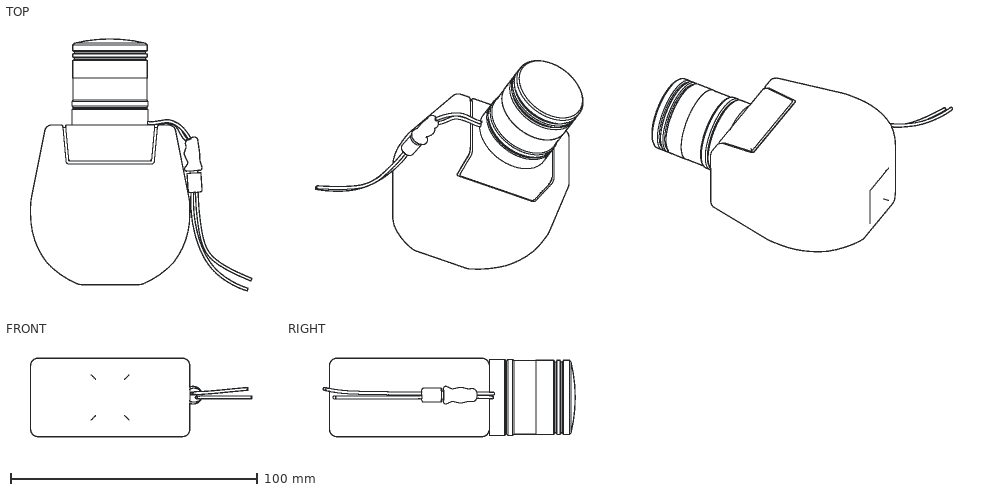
import cadquery as cq
import math


HEIGHT = 32.0
LENGTH = 65.0
HALF_WIDTH = 32.4
EDGE_ROUND = 3.1
BACK_CORNER_ROUND = 3.0
FRONT_FLAT_HALF = 12.5
FRONT_ARC_RADIUS = 34.8
FRONT_CORNER_ROUND = 5.1
CHEEK_X = 25.9
CHEEK_Y = 9.2
CHEEK_TOP_Y = 28.3
FLANK_TOP_Y = 31.9
SHOULDER_X = 32.0
SHOULDER_Y = 35.8
BACK_HALF = 26.1

WINDOW_WIDTH = 14.9
WINDOW_HEIGHT = 17.8
WINDOW_DEPTH = 1.4
WINDOW_TAPER = 45
WINDOW_LIP_ROUND = 1.1
WINDOW_FLOOR_ROUND = 0.6

GROOVE_DEPTH = 1.0
GROOVE_REACH = 15.9
GROOVE_BACK_HALF = 19.3
GROOVE_FRONT_HALF = 17.8
GROOVE_WIDTH = 1.1
GROOVE_CORNER = 1.1
GROOVE_LIP_ROUND = 0.8
PANEL_EDGE_ROUND = 0.5

LENS_X = -0.1
MOUNT_RADIUS = 15.5
MOUNT_LENGTH = 6.7
MOUNT_CHAMFER = 0.4
MOUNT_END_Y = LENGTH + MOUNT_LENGTH

LENS_TIP_Y = 99.9
NECK_RADIUS = 14.7
NECK_LENGTH = 0.3
COLLAR_LENGTH = 3.1
COLLAR_CHAMFER = 0.6
BARREL_RADIUS = 15.1
HOOD_RADIUS = 15.2
HOOD_LENGTH = 15.9
RIB_GROOVES_FROM_TIP = (5.5, 8.1)
RIB_GROOVE_MOUTH = 1.4
RIB_GROOVE_FLOOR = 0.6
RIB_GROOVE_DEPTH = 0.7
RIM_LENGTH = 2.5
RIM_INSET = 0.7
DOME_HEIGHT = 1.7

JOINT_X = 34.0
JOINT_Y = 45.4
CONNECTOR_Z = 0.9
CONNECTOR_TILT = 4
PIN_RADIUS = 1.6
PIN_LENGTH = 0.9
PIN_ROOT = 0.5
SOCKET_RADIUS = 2.9
SOCKET_LENGTH = 7.9
SOCKET_ROUND = 0.9
PLUG_END_ROUND = 1.5
PLUG_SECTIONS = (
    (JOINT_X - 0.1, JOINT_Y + PIN_LENGTH, 2.9, CONNECTOR_TILT),
    (33.9, 48.4, 3.2, CONNECTOR_TILT),
    (33.8, 50.9, 2.7, CONNECTOR_TILT),
    (33.2, 53.5, 3.2, CONNECTOR_TILT),
    (33.3, 55.9, 2.7, 10),
    (33.1, 57.7, 2.7, 16),
    (32.5, 59.5, 2.7, 28),
)

WIRE_RADIUS = 0.6
FEED_WIRES = (
    (
        (14.8, 65.8, 0),
        (19.5, 65.8, 0),
        (23.9, 66.0, 0),
        (26.6, 65.1, 0.1),
        (28.5, 62.5, 0.2),
        (31.1, 58.9, 0.3),
    ),
    (
        (14.8, 65.9, 1.5),
        (19.5, 66.0, 1.5),
        (24.1, 66.4, 1.5),
        (27.0, 65.3, 1.5),
        (29.8, 62.8, 1.5),
        (32.4, 59.0, 1.5),
    ),
)
TAIL_WIRES = (
    (
        (35.2, 38.2, 0.1),
        (35.5, 31.8, 0),
        (36.4, 23.6, 0),
        (40.0, 12.6, 0),
        (45.9, 7.6, 0),
        (57.4, 2.0, 0),
    ),
    (
        (33.4, 38.2, 1.5),
        (33.6, 28.1, 1.6),
        (35.1, 20.4, 1.7),
        (41.8, 6.8, 2.2),
        (48.2, 1.5, 2.8),
        (55.9, -1.9, 3.5),
    ),
)


def half_housing_block():
    """The +X half of the housing, before rounding."""
    rise = CHEEK_TOP_Y - CHEEK_Y
    spread = HALF_WIDTH - CHEEK_X
    cheek_radius = (rise**2 + spread**2) / (2 * spread)
    return (
        cq.Workplane("XY", origin=(0, 0, -HEIGHT / 2))
        .moveTo(0, 0)
        .lineTo(FRONT_FLAT_HALF, 0)
        .radiusArc((CHEEK_X, CHEEK_Y), -FRONT_ARC_RADIUS)
        .radiusArc((HALF_WIDTH, CHEEK_TOP_Y), -cheek_radius)
        .lineTo(HALF_WIDTH, FLANK_TOP_Y)
        .tangentArcPoint((SHOULDER_X, SHOULDER_Y), relative=False)
        .lineTo(BACK_HALF, LENGTH)
        .lineTo(0, LENGTH)
        .close()
        .extrude(HEIGHT)
    )


def rounded_block():
    half = half_housing_block()
    block = half.union(half.mirror("YZ")).clean()
    block = block.faces(">Y").edges("|Z").fillet(BACK_CORNER_ROUND)
    block = block.faces("<Y").edges("|Z").fillet(FRONT_CORNER_ROUND)
    return block.faces("<Z or >Z").edges().fillet(EDGE_ROUND)


def window():
    """Tapered pocket cutter, with its floor edges rounded."""
    return (
        cq.Workplane("XZ")
        .rect(WINDOW_WIDTH, WINDOW_HEIGHT)
        .extrude(-WINDOW_DEPTH, taper=WINDOW_TAPER)
        .faces(">Y")
        .edges()
        .fillet(WINDOW_FLOOR_ROUND)
    )


def round_window_lip(block):
    margin = 0.1
    lip = cq.selectors.BoxSelector(
        (-WINDOW_WIDTH / 2 - margin, -margin, -WINDOW_HEIGHT / 2 - margin),
        (WINDOW_WIDTH / 2 + margin, margin, WINDOW_HEIGHT / 2 + margin),
    )
    return block.edges(lip).fillet(WINDOW_LIP_ROUND)


def panel_prism(inset):
    """Prism through the whole height, shrunk by the inset on its front and sides and open to the back."""
    lean = (GROOVE_BACK_HALF - GROOVE_FRONT_HALF) / GROOVE_REACH
    front = LENGTH - GROOVE_REACH + inset
    back = LENGTH + EDGE_ROUND
    front_half = GROOVE_FRONT_HALF + inset * (lean - 1)
    back_half = front_half + (back - front) * lean
    return (
        cq.Workplane("XY", origin=(0, 0, -HEIGHT))
        .polyline([(-front_half, front), (front_half, front), (back_half, back), (-back_half, back)])
        .close()
        .extrude(2 * HEIGHT)
    )


def groove():
    outer = panel_prism(0).faces("<Y").edges("|Z").fillet(GROOVE_CORNER)
    core_height = HEIGHT - 2 * GROOVE_DEPTH
    core = (
        cq.Workplane("XY")
        .box(4 * HALF_WIDTH, LENGTH - GROOVE_DEPTH, core_height)
        .translate((0, (LENGTH - GROOVE_DEPTH) / 2, 0))
        .faces(">Y")
        .edges("|X")
        .fillet(EDGE_ROUND - GROOVE_DEPTH)
    )
    return outer.cut(panel_prism(GROOVE_WIDTH)).cut(core)


def round_groove_lip(block):
    """Round the outer edge of the groove; the round follows the smooth edge all the way around."""
    front_edge = cq.selectors.NearestToPointSelector((0, LENGTH - GROOVE_REACH, HEIGHT / 2))
    return block.edges(front_edge).fillet(GROOVE_LIP_ROUND)


def round_panel_edges(block):
    """Round the panel's front edges, and its side edges all the way from the top to the bottom."""
    panel_front = LENGTH - GROOVE_REACH + GROOVE_WIDTH
    middle = (panel_front + LENGTH - EDGE_ROUND) / 2
    seeds = [
        (0, panel_front, HEIGHT / 2),
        (0, panel_front, -HEIGHT / 2),
        (-GROOVE_FRONT_HALF + GROOVE_WIDTH, middle, HEIGHT / 2),
        (GROOVE_FRONT_HALF - GROOVE_WIDTH, middle, HEIGHT / 2),
    ]
    edges = [block.edges(cq.selectors.NearestToPointSelector(seed)).val() for seed in seeds]
    return block.newObject(edges).fillet(PANEL_EDGE_ROUND)


def make_housing():
    block = round_window_lip(rounded_block().cut(window()))
    return round_panel_edges(round_groove_lip(block.cut(groove())))


def turned(profile):
    """Turn a half profile, already closed, about the Y axis."""
    return profile.revolve(360, (0, 0, 0), (0, 1, 0))


def make_mount():
    ring = cq.Workplane("XZ", origin=(LENS_X, LENGTH, 0)).circle(MOUNT_RADIUS).extrude(-MOUNT_LENGTH)
    return ring.faces(">Y").edges().chamfer(MOUNT_CHAMFER)


def make_lens():
    collar_start = MOUNT_END_Y + NECK_LENGTH
    collar_end = collar_start + COLLAR_LENGTH
    hood_start = LENS_TIP_Y - HOOD_LENGTH
    dome_base = LENS_TIP_Y - DOME_HEIGHT
    dome_radius = HOOD_RADIUS - RIM_INSET
    dome_sphere = (dome_radius**2 + DOME_HEIGHT**2) / (2 * DOME_HEIGHT)
    lens = turned(
        cq.Workplane("XY")
        .moveTo(0, MOUNT_END_Y)
        .lineTo(NECK_RADIUS, MOUNT_END_Y)
        .lineTo(NECK_RADIUS, collar_start)
        .lineTo(MOUNT_RADIUS - COLLAR_CHAMFER, collar_start)
        .lineTo(MOUNT_RADIUS, collar_start + COLLAR_CHAMFER)
        .lineTo(MOUNT_RADIUS, collar_end - COLLAR_CHAMFER)
        .lineTo(BARREL_RADIUS, collar_end)
        .lineTo(BARREL_RADIUS, hood_start)
        .lineTo(HOOD_RADIUS, hood_start)
        .lineTo(HOOD_RADIUS, LENS_TIP_Y - RIM_LENGTH)
        .lineTo(dome_radius, dome_base)
        .radiusArc((0, LENS_TIP_Y), -dome_sphere)
        .close()
    )
    for distance in RIB_GROOVES_FROM_TIP:
        lens = lens.cut(rib_groove(LENS_TIP_Y - distance))
    return lens.translate((LENS_X, 0, 0))


def rib_groove(middle):
    """Ring-shaped cutter with sloped sides, which reaches as far outside the hood as it cuts in."""
    floor_radius = HOOD_RADIUS - RIB_GROOVE_DEPTH
    outer_radius = HOOD_RADIUS + RIB_GROOVE_DEPTH
    floor_half = RIB_GROOVE_FLOOR / 2
    outer_half = RIB_GROOVE_MOUTH - floor_half
    return turned(
        cq.Workplane("XY")
        .moveTo(floor_radius, middle - floor_half)
        .lineTo(outer_radius, middle - outer_half)
        .lineTo(outer_radius, middle + outer_half)
        .lineTo(floor_radius, middle + floor_half)
        .close()
    )


def tilted_axis(degrees):
    angle = math.radians(degrees)
    return cq.Vector(-math.sin(angle), math.cos(angle), 0)


def joint_plane():
    """Plane across the joint of the two connector halves, facing the plug."""
    return cq.Plane((JOINT_X, JOINT_Y, CONNECTOR_Z), xDir=(0, 0, 1), normal=tilted_axis(CONNECTOR_TILT))


def make_socket():
    body = cq.Workplane(joint_plane()).circle(SOCKET_RADIUS).extrude(-SOCKET_LENGTH)
    return body.faces("<Y").edges().fillet(SOCKET_ROUND)


def make_plug():
    sections = [
        cq.Wire.makeCircle(radius, cq.Vector(x, y, CONNECTOR_Z), tilted_axis(tilt))
        for x, y, radius, tilt in PLUG_SECTIONS
    ]
    boot = cq.Workplane(cq.Solid.makeLoft(sections)).faces(">Y").edges().fillet(PLUG_END_ROUND)
    pin = cq.Workplane(joint_plane()).circle(PIN_RADIUS).extrude(PIN_LENGTH + PIN_ROOT)
    return boot.union(pin)


def make_wire(points):
    path = cq.Workplane("XY").spline([cq.Vector(*point) for point in points])
    start = cq.Vector(*points[0])
    heading = path.val().tangentAt(0)
    return cq.Workplane(cq.Plane(start, normal=heading)).circle(WIRE_RADIUS).sweep(path)


housing = make_housing()
mount = make_mount()
lens = make_lens()
socket = make_socket()
plug = make_plug()

feed_wires = [make_wire(points) for points in FEED_WIRES]
tail_wires = [make_wire(points) for points in TAIL_WIRES]

for wire in feed_wires:
    mount = mount.cut(wire)
    plug = plug.cut(wire)
for wire in tail_wires:
    socket = socket.cut(wire)

wire_solids = [wire.val() for wire in feed_wires + tail_wires]
result = cq.Compound.makeCompound(
    [housing.val(), mount.val(), lens.val(), socket.val(), plug.val(), *wire_solids]
)